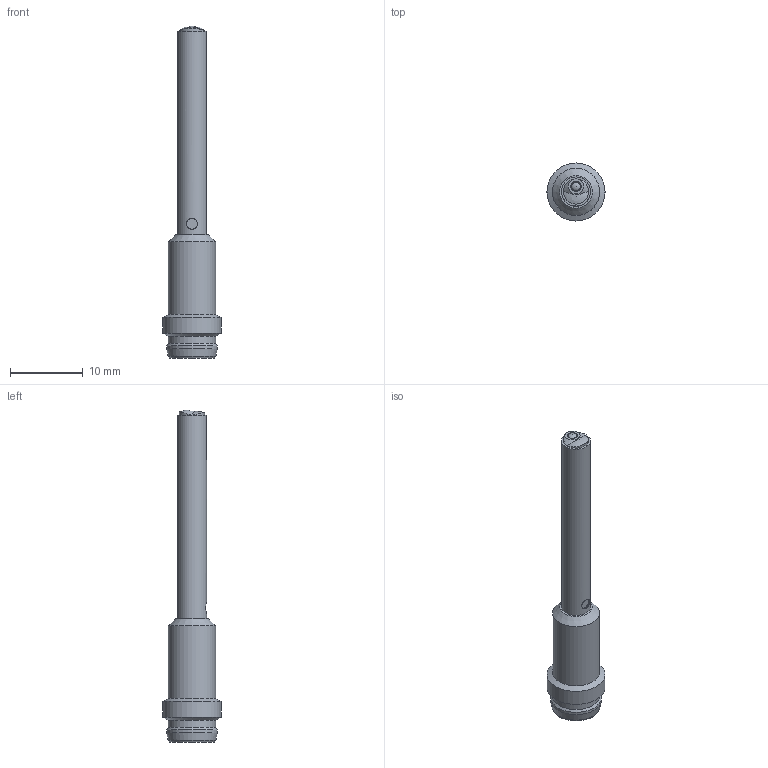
import cadquery as cq
import math

TOTAL_HEIGHT = 45.76

BODY_RADIUS = 3.25
FLANGE_RADIUS = 4.0
STEM_RADIUS = 2.0

FOOT_RADIUS = 3.15
FOOT_EDGE_RADIUS = 3.3
FOOT_EDGE_Z = 0.25
BEAD_RADIUS = 3.5
BEAD_BOTTOM_Z = 1.3
BEAD_TOP_Z = 1.7
NECK_BOTTOM_Z = 2.0

FLANGE_ROOT_BOTTOM_Z = 3.0
FLANGE_BOTTOM_Z = 3.4
FLANGE_TOP_Z = 5.6
FLANGE_ROOT_TOP_Z = 6.0

SHOULDER_TOP_Z = 17.0
SHOULDER_BEVEL = 1.0

SIDE_HOLE_RADIUS = 0.75
SIDE_HOLE_DEPTH = 0.3
SIDE_HOLE_Z = 18.5

TIP_BASE_Z = 45.06
TIP_RADIUS = 1.73
SEAT_TOP_Z = 45.61
SEAT_RADIUS = 1.05
SEAT_SLOPE = math.radians(35)
LENS_Y = 0.7
LENS_RADIUS = 0.6
LENS_RISE = 0.2
RECESS_RADIUS = 0.72
DOME_Y = -0.7
DOME_CROWN_Z = 45.57
DOME_RADIUS = 3.5


def make_turned_body():
    """Revolve the foot, flange, body and stem about Z."""
    outline = [
        (0, 0),
        (FOOT_RADIUS, 0),
        (FOOT_EDGE_RADIUS, FOOT_EDGE_Z),
        (BEAD_RADIUS, BEAD_BOTTOM_Z),
        (BEAD_RADIUS, BEAD_TOP_Z),
        (BODY_RADIUS, NECK_BOTTOM_Z),
        (BODY_RADIUS, FLANGE_ROOT_BOTTOM_Z),
        (FLANGE_RADIUS, FLANGE_BOTTOM_Z),
        (FLANGE_RADIUS, FLANGE_TOP_Z),
        (BODY_RADIUS, FLANGE_ROOT_TOP_Z),
        (BODY_RADIUS, SHOULDER_TOP_Z - SHOULDER_BEVEL),
        (BODY_RADIUS - SHOULDER_BEVEL, SHOULDER_TOP_Z),
        (STEM_RADIUS, SHOULDER_TOP_Z),
        (STEM_RADIUS, TIP_BASE_Z),
        (0, TIP_BASE_Z),
    ]
    return cq.Workplane("XZ").polyline(outline).close().revolve(360, (0, 0), (0, 1))


def make_side_hole():
    """Cutter for the flat-bottomed hole, running inward from the -Y side."""
    return (
        cq.Workplane("XZ", origin=(0, SIDE_HOLE_DEPTH - STEM_RADIUS, SIDE_HOLE_Z))
        .circle(SIDE_HOLE_RADIUS)
        .extrude(STEM_RADIUS)
    )


def make_lens_seat():
    """Truncated cone with a flat top, centred on the lens."""
    height = SEAT_TOP_Z - TIP_BASE_Z
    base_radius = SEAT_RADIUS + height / math.tan(SEAT_SLOPE)
    cone = cq.Solid.makeCone(base_radius, SEAT_RADIUS, height, pnt=cq.Vector(0, LENS_Y, TIP_BASE_Z))
    return cq.Workplane(cone)


def make_dome(y, crown_z, sphere_radius):
    """Ball whose highest point is at (0, y, crown_z)."""
    return cq.Workplane(origin=(0, y, crown_z - sphere_radius)).sphere(sphere_radius)


def make_column(y, radius, bottom_z):
    """Upright cylinder from bottom_z to the top of the part."""
    return cq.Workplane(origin=(0, y, bottom_z)).circle(radius).extrude(TOTAL_HEIGHT - bottom_z)


def make_lens():
    """Small domed lens, rising from the tip base to the top of the part."""
    sphere_radius = (LENS_RADIUS**2 + LENS_RISE**2) / (2 * LENS_RISE)
    ball = make_dome(LENS_Y, TOTAL_HEIGHT, sphere_radius)
    return ball.intersect(make_column(LENS_Y, LENS_RADIUS, TIP_BASE_Z))


def make_tip():
    """Seat cone and dome merged inside the round plug, with the lens in a recess in the seat."""
    plug = make_column(0, TIP_RADIUS, TIP_BASE_Z)
    dome = make_dome(DOME_Y, DOME_CROWN_Z, DOME_RADIUS)
    roof = make_lens_seat().union(dome).intersect(plug)
    recess = make_column(LENS_Y, RECESS_RADIUS, TOTAL_HEIGHT - LENS_RISE)
    return roof.cut(recess).union(make_lens())


result = make_turned_body().cut(make_side_hole()).union(make_tip())